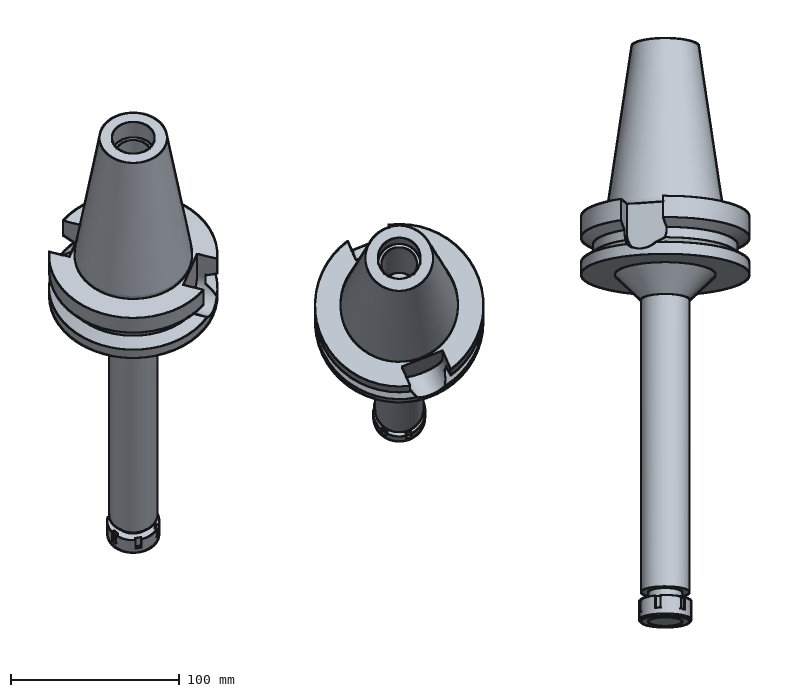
import cadquery as cq


overall_length = 351.8

taper_length = 101.5
taper_big_radius = 35.0
taper_small_radius = 20.0

flange_radius = 50.0
flange_top = -2.5
flange_bottom = -38.0
groove_radius = 43.0
groove_upper_edge = -15.5
groove_floor_top = -19.7
groove_floor_bottom = -26.0
groove_lower_edge = -30.5

drive_slot_width = 26.0
drive_slot_floor = 35.5
drive_slot_depth = 31.5

shank_radius = 14.5
cone_big_radius = 30.0
cone_bottom = flange_bottom - (cone_big_radius - shank_radius)
shank_bottom = -232.2

bore_radius = 12.5
bore_depth = 13.7
inner_bore_radius = 10.5
inner_bore_depth = 70.5

nut_radius = 15.5
nut_top = -237.8
nut_bottom = taper_length - overall_length
nut_chamfer = 1.0
wrench_slot_count = 6
wrench_slot_width = 3.5
wrench_slot_length = 7.5
wrench_slot_depth = 1.8

collet_radius = 10.2
collet_length = 31.5
collet_top = nut_bottom + collet_length


def cylinder(radius, bottom, top):
    return cq.Workplane("XY").workplane(offset=bottom).circle(radius).extrude(top - bottom)


def holder_blank():
    """Taper, grooved flange, cone and shank turned about the Z axis."""
    half_profile = [
        (0, taper_length),
        (taper_small_radius, taper_length),
        (taper_big_radius, 0),
        (taper_big_radius, flange_top),
        (flange_radius, flange_top),
        (flange_radius, groove_upper_edge),
        (groove_radius, groove_floor_top),
        (groove_radius, groove_floor_bottom),
        (flange_radius, groove_lower_edge),
        (flange_radius, flange_bottom),
        (cone_big_radius, flange_bottom),
        (shank_radius, cone_bottom),
        (shank_radius, shank_bottom),
        (0, shank_bottom),
    ]
    return cq.Workplane("XZ").polyline(half_profile).close().revolve(360, (0, 0), (0, 1))


def drive_slot(angle):
    """Round-ended cutter, open at the flange top, turned to the given angle from +X."""
    end_radius = drive_slot_width / 2
    lowest = flange_top - drive_slot_depth
    end_center = lowest + end_radius
    cutter = (
        cq.Workplane("YZ")
        .workplane(offset=drive_slot_floor)
        .moveTo(-end_radius, flange_top)
        .lineTo(-end_radius, end_center)
        .threePointArc((0, lowest), (end_radius, end_center))
        .lineTo(end_radius, flange_top)
        .close()
        .extrude(flange_radius - drive_slot_floor)
    )
    return cutter.rotate((0, 0, 0), (0, 0, 1), angle)


def make_collet():
    return cylinder(collet_radius, nut_bottom, collet_top)


def make_holder():
    holder = holder_blank()
    for angle in (0, 180):
        holder = holder.cut(drive_slot(angle))
    holder = holder.cut(cylinder(bore_radius, taper_length - bore_depth, taper_length))
    holder = holder.cut(cylinder(inner_bore_radius, taper_length - inner_bore_depth, taper_length))
    return holder.cut(make_collet())


def wrench_slot(angle):
    """Slot cutter, open at the nut top, turned to the given angle from +X."""
    cutter = (
        cq.Workplane("XY")
        .box(2 * wrench_slot_depth, wrench_slot_width, wrench_slot_length)
        .translate((nut_radius, 0, nut_top - wrench_slot_length / 2))
    )
    return cutter.rotate((0, 0, 0), (0, 0, 1), angle)


def make_nut():
    nut = cylinder(nut_radius, nut_bottom, nut_top).faces("<Z").chamfer(nut_chamfer)
    for index in range(wrench_slot_count):
        nut = nut.cut(wrench_slot(index * 360 / wrench_slot_count))
    return nut.cut(make_collet())


holder = make_holder()
nut = make_nut()
collet = make_collet()

result = cq.Compound.makeCompound([holder.val(), nut.val(), collet.val()])